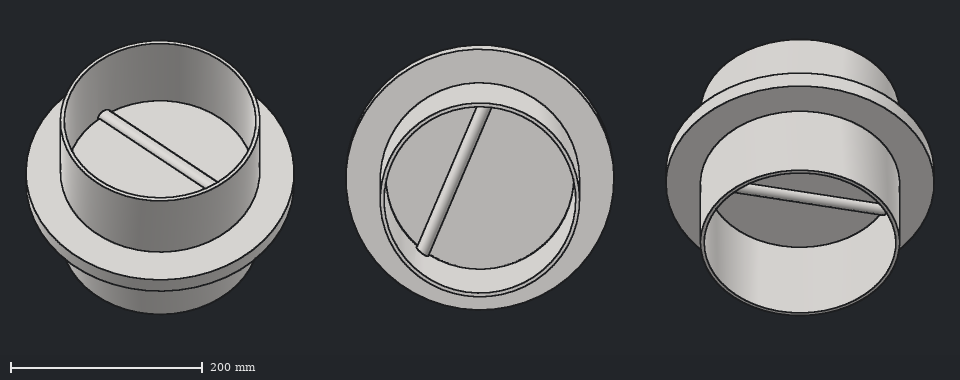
import cadquery as cq

pipe_outer_diameter = 208.0
pipe_inner_diameter = 200.0
pipe_length = 200.0

flange_diameter = 280.0
flange_thickness = 20.0

flap_diameter = 196.0
flap_thickness = 4.0
shaft_diameter = 15.0
shaft_offset_y = 25.0


def centred_disc(diameter, thickness):
    """Disc about the Z axis, halved by the XY plane."""
    base = cq.Workplane("XY").workplane(offset=-thickness / 2)
    return base.circle(diameter / 2).extrude(thickness)


def make_housing():
    """Flanged pipe with an open bore."""
    pipe = centred_disc(pipe_outer_diameter, pipe_length)
    flange = centred_disc(flange_diameter, flange_thickness)
    bore = centred_disc(pipe_inner_diameter, pipe_length)
    return pipe.union(flange).cut(bore)


def make_shaft():
    """Shaft along X whose rounded ends stop halfway into the pipe wall."""
    end_diameter = (pipe_inner_diameter + pipe_outer_diameter) / 2
    bar = (
        cq.Workplane("YZ", origin=(-end_diameter / 2, shaft_offset_y, 0))
        .circle(shaft_diameter / 2)
        .extrude(end_diameter)
    )
    return bar.intersect(centred_disc(end_diameter, shaft_diameter))


flap = centred_disc(flap_diameter, flap_thickness)
result = make_housing().union(make_shaft()).union(flap)